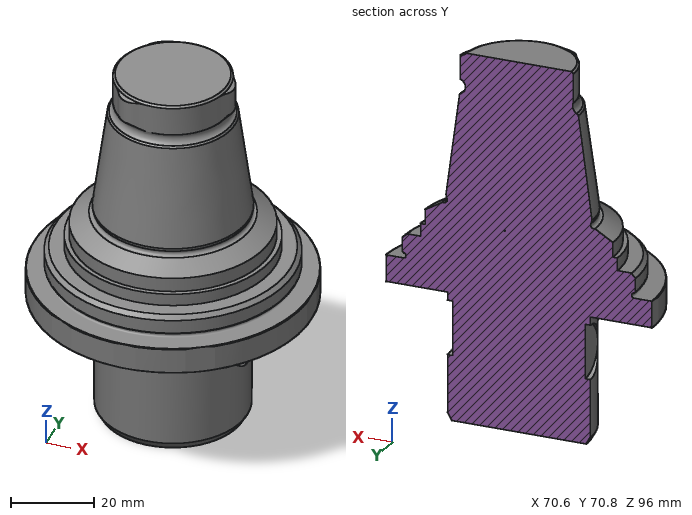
import math

import cadquery as cq

total_height = 96.0
disc_bottom_z = 33.1
disc_top_z = 40.1
collar_bottom_z = 41.3
collar_top_z = 46.5
pilot_top_z = 49.75
shoulder_edge_z = 53.55
neck_start_z = 56.3
taper_bottom_z = 58.4
taper_top_z = 84.9

shank_radius = 38.0 / 2
shank_chamfer_height = 2.0
shank_chamfer_width = shank_chamfer_height * math.tan(math.radians(30))

disc_radius = 35.5
disc_chamfer = 0.2
wide_flat_width = 7.2
narrow_flat_width = 5.5
wide_flat_angles = [0, 180, 240, 300]
narrow_flat_angles = [90, 270]

collar_radius = 62.0 / 2
collar_top_chamfer = 1.1
collar_top_break_width = 0.5
collar_top_break_height = 0.1
collar_bottom_chamfer = 0.4
groove_radius = 60.1 / 2
groove_fillet = 0.5

pilot_radius = 52.4 / 2
shoulder_radius = 50.0 / 2
shoulder_cone_angle = 30.0
undercut_radius = 19.1
undercut_z = 57.1
taper_heel_height = 0.8
taper_heel_width = 0.15

taper_bottom_radius = 19.45
taper_top_radius = 15.85
taper_edge_chamfer = 0.45

neck_section_radius = 1.9
neck_ring_radius = 16.2
neck_center_z = 87.1

head_radius = 14.5
head_bevel_width = 0.55
head_bevel_height = 0.5
lobe_bevel_height = 0.4
lobe_tip_radius = 15.65
lobe_round_radius = 5.3
lobe_half_angle = 22.0
lobe_angles = [0, 120, 240]

recess_diameter = 14.0
recess_z = 24.0
recess_floor_x = 17.6


def polar(radius, angle):
    """Point in the XY plane at a radius and an angle in degrees."""
    return (radius * math.cos(math.radians(angle)), radius * math.sin(math.radians(angle)))


def make_body():
    """Everything up to the middle of the neck, turned about Z."""
    neck_start_radius = shoulder_radius - (neck_start_z - shoulder_edge_z) / math.tan(
        math.radians(shoulder_cone_angle)
    )
    groove_arc_offset = groove_fillet * (1 - math.sqrt(0.5))
    heel_z = taper_bottom_z - taper_heel_height
    profile = (
        cq.Workplane("XZ")
        .moveTo(0, 0)
        .lineTo(shank_radius - shank_chamfer_width, 0)
        .lineTo(shank_radius, shank_chamfer_height)
        .lineTo(shank_radius, disc_bottom_z)
        .lineTo(disc_radius - disc_chamfer, disc_bottom_z)
        .lineTo(disc_radius, disc_bottom_z + disc_chamfer)
        .lineTo(disc_radius, disc_top_z - disc_chamfer)
        .lineTo(disc_radius - disc_chamfer, disc_top_z)
        .lineTo(groove_radius + groove_fillet, disc_top_z)
        .threePointArc(
            (groove_radius + groove_arc_offset, disc_top_z + groove_arc_offset),
            (groove_radius, disc_top_z + groove_fillet),
        )
        .lineTo(groove_radius, collar_bottom_z - groove_fillet)
        .threePointArc(
            (groove_radius + groove_arc_offset, collar_bottom_z - groove_arc_offset),
            (groove_radius + groove_fillet, collar_bottom_z),
        )
        .lineTo(collar_radius - collar_bottom_chamfer, collar_bottom_z)
        .lineTo(collar_radius, collar_bottom_z + collar_bottom_chamfer)
        .lineTo(collar_radius, collar_top_z - collar_top_break_height - collar_top_chamfer)
        .lineTo(collar_radius - collar_top_chamfer, collar_top_z - collar_top_break_height)
        .lineTo(collar_radius - collar_top_chamfer - collar_top_break_width, collar_top_z)
        .lineTo(pilot_radius, collar_top_z)
        .lineTo(pilot_radius, pilot_top_z)
        .lineTo(shoulder_radius, pilot_top_z)
        .lineTo(shoulder_radius, shoulder_edge_z)
        .lineTo(neck_start_radius, neck_start_z)
        .threePointArc((undercut_radius, undercut_z), (taper_bottom_radius - taper_heel_width, heel_z))
        .lineTo(taper_bottom_radius, taper_bottom_z)
        .lineTo(taper_top_radius, taper_top_z)
        .lineTo(taper_top_radius - taper_edge_chamfer, taper_top_z + taper_edge_chamfer)
        .lineTo(taper_top_radius - taper_edge_chamfer, neck_center_z)
        .lineTo(0, neck_center_z)
        .close()
    )
    return profile.revolve(360, (0, 0, 0), (0, 1, 0))


def cut_disc_flat(body, angle, width):
    """Shave a narrow flat of the given width on the rim of the disc."""
    flat_distance = math.sqrt(disc_radius**2 - (width / 2) ** 2)
    cutter = (
        cq.Workplane("XY", origin=(0, 0, disc_bottom_z))
        .rect(disc_radius, disc_radius)
        .extrude(disc_top_z - disc_bottom_z)
        .translate((flat_distance + disc_radius / 2, 0, 0))
        .rotate((0, 0, 0), (0, 0, 1), angle)
    )
    return body.cut(cutter)


def make_head_outline():
    """Closed outline of a round head with three lobes blended in by hollow arcs."""
    lobe_center = lobe_tip_radius - lobe_round_radius
    cos_half = math.cos(math.radians(lobe_half_angle))
    blend_radius = (
        (head_radius**2 + lobe_center**2 - 2 * head_radius * lobe_center * cos_half - lobe_round_radius**2)
        / (2 * (lobe_round_radius - head_radius + lobe_center * cos_half))
    )
    blend_x, blend_y = polar(head_radius + blend_radius, lobe_half_angle)
    lobe_turn = math.degrees(math.atan2(blend_y, blend_x - lobe_center))
    touch_x = lobe_center + lobe_round_radius * math.cos(math.radians(lobe_turn))
    touch_y = lobe_round_radius * math.sin(math.radians(lobe_turn))
    touch_radius = math.hypot(touch_x, touch_y)
    touch_angle = math.degrees(math.atan2(touch_y, touch_x))
    mid_direction = (180 + lobe_half_angle + 180 + lobe_turn) / 2
    mid_dx, mid_dy = polar(blend_radius, mid_direction)
    mid_x = blend_x + mid_dx
    mid_y = blend_y + mid_dy
    mid_radius = math.hypot(mid_x, mid_y)
    mid_angle = math.degrees(math.atan2(mid_y, mid_x))

    lobe_pitch = 360 / len(lobe_angles)
    outline = cq.Workplane("XY").moveTo(*polar(head_radius, lobe_angles[0] - lobe_half_angle))
    for angle in lobe_angles:
        outline = (
            outline.threePointArc(
                polar(mid_radius, angle - mid_angle), polar(touch_radius, angle - touch_angle)
            )
            .threePointArc(polar(lobe_tip_radius, angle), polar(touch_radius, angle + touch_angle))
            .threePointArc(polar(mid_radius, angle + mid_angle), polar(head_radius, angle + lobe_half_angle))
            .threePointArc(
                polar(head_radius, angle + lobe_pitch / 2),
                polar(head_radius, angle + lobe_pitch - lobe_half_angle),
            )
        )
    return outline.close()


def make_head():
    """Lobed head, bevelled on top."""
    head = make_head_outline().extrude(total_height - neck_center_z).translate((0, 0, neck_center_z))
    head_bevel_z = total_height - head_bevel_height
    envelope = (
        cq.Workplane("XZ")
        .moveTo(0, neck_center_z)
        .lineTo(lobe_tip_radius, neck_center_z)
        .lineTo(lobe_tip_radius, head_bevel_z - lobe_bevel_height)
        .lineTo(head_radius, head_bevel_z)
        .lineTo(head_radius - head_bevel_width, total_height)
        .lineTo(0, total_height)
        .close()
        .revolve(360, (0, 0, 0), (0, 1, 0))
    )
    return head.intersect(envelope)


def make_neck_groove():
    """Ring whose round section hollows the neck."""
    return cq.Workplane(
        cq.Solid.makeTorus(neck_ring_radius, neck_section_radius, cq.Vector(0, 0, neck_center_z))
    )


def cut_recess(body, side):
    """Flat-bottomed round recess on the -X (side = -1) or +X (side = 1) face."""
    cutter = (
        cq.Workplane("YZ", origin=(side * recess_floor_x, 0, recess_z))
        .circle(recess_diameter / 2)
        .extrude(side * (shank_radius - recess_floor_x))
    )
    return body.cut(cutter)


body = make_body()
for flat_angle in wide_flat_angles:
    body = cut_disc_flat(body, flat_angle, wide_flat_width)
for flat_angle in narrow_flat_angles:
    body = cut_disc_flat(body, flat_angle, narrow_flat_width)
for recess_side in (-1, 1):
    body = cut_recess(body, recess_side)

result = body.union(make_head()).cut(make_neck_groove())